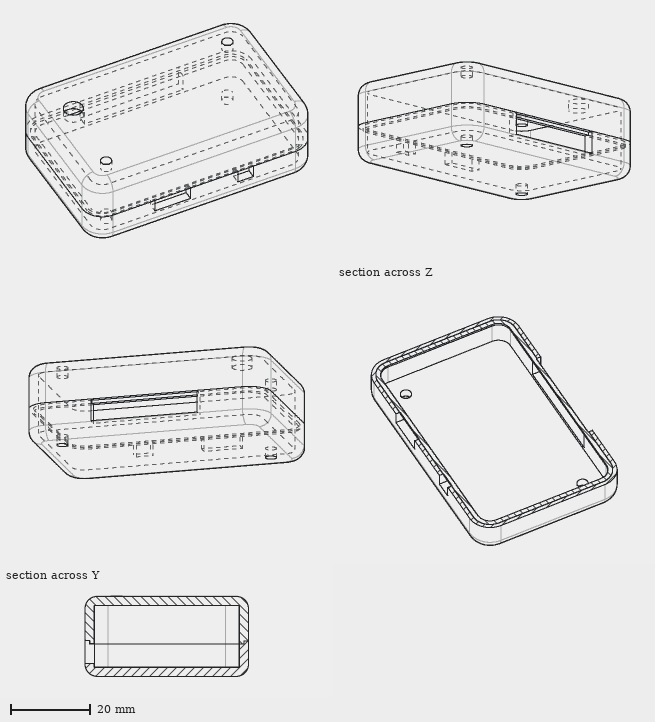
import cadquery as cq

width = 41.4
length = 63.5
height = 20.3
corner_radius = 5.85
edge_radius = 3.2
wall = 2.4
parting_z = 9.1

lip_depth = 0.8
lip_width = wall / 2

screw_hole_diameter = 2.85
screw_x = 12.7
screw_y = 23.75
screw_points = [(-screw_x, screw_y), (screw_x, -screw_y)]
button_hole_diameter = 5.1
button_point = (-8.4, -22.2)

slot_half_length = 14.0
slot_bottom_z = 3.35
port_bottom_z = 5.5
wide_port_inner_y = -3.9
narrow_port_inner_y = 9.5


def rounded_block(inset, bottom_z, top_z):
    """Upright block with the case outline moved inwards by inset."""
    block = cq.Workplane("XY").workplane(offset=bottom_z)
    block = block.rect(width - 2 * inset, length - 2 * inset).extrude(top_z - bottom_z)
    return block.edges("|Z").fillet(corner_radius - inset)


def full_height_holes(points, diameter):
    """Vertical cylinders as tall as the case."""
    return cq.Workplane("XY").pushPoints(points).circle(diameter / 2).extrude(height)


def wall_opening(side, y_start, y_end, bottom_z):
    """Block that cuts the wall on side -1 (-X) or +1 (+X), from bottom_z up to the parting plane."""
    return (
        cq.Workplane("XY")
        .box(wall, y_end - y_start, parting_z - bottom_z, centered=(True, True, False))
        .translate((side * (width - wall) / 2, (y_start + y_end) / 2, bottom_z))
    )


def make_base():
    """Lower tray with a rebated rim, a slot on -X and two ports on +X."""
    body = rounded_block(0, 0, parting_z).faces("<Z").edges().fillet(edge_radius)
    body = body.cut(rounded_block(wall, wall, parting_z))
    body = body.cut(rounded_block(wall - lip_width, parting_z - lip_depth, parting_z))
    body = body.cut(wall_opening(-1, -slot_half_length, slot_half_length, slot_bottom_z))
    body = body.cut(wall_opening(1, -slot_half_length, wide_port_inner_y, port_bottom_z))
    body = body.cut(wall_opening(1, narrow_port_inner_y, slot_half_length, port_bottom_z))
    return body.cut(full_height_holes(screw_points, screw_hole_diameter))


def make_cover():
    """Upper shell with a lip below its rim, screw holes and a button hole."""
    body = rounded_block(0, parting_z, height).faces(">Z").edges().fillet(edge_radius)
    body = body.union(rounded_block(wall - lip_width, parting_z - lip_depth, parting_z))
    body = body.cut(rounded_block(wall, parting_z - lip_depth, height - wall))
    body = body.cut(full_height_holes(screw_points, screw_hole_diameter))
    return body.cut(full_height_holes([button_point], button_hole_diameter))


base = make_base()
cover = make_cover()

result = cq.Compound.makeCompound([base.val(), cover.val()])